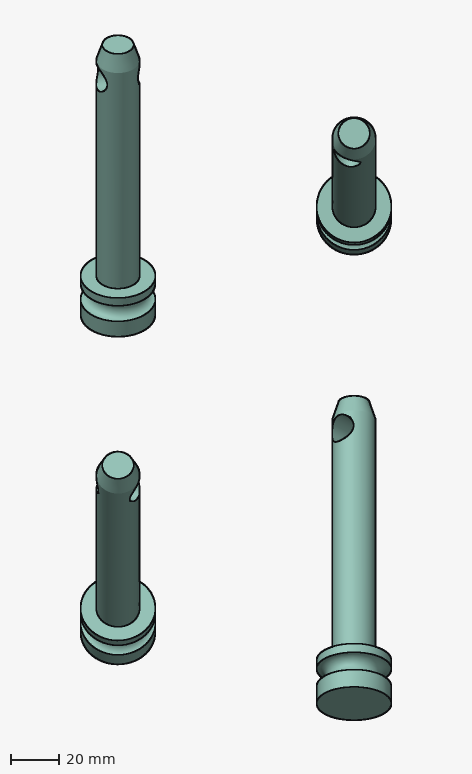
import cadquery as cq

base_diameter = 31.0
base_height = 20.0
groove_radius = 4.0
groove_center_height = 12.0

shank_diameter = 18.0
shank_top_height = 131.0
tip_diameter = 13.0
tip_length = 8.0
total_height = shank_top_height + tip_length

cross_hole_diameter = 12.0
cross_hole_height = 124.0


def turned_body():
    """Base with a half-round groove, straight shank and conical tip, all turned about Z."""
    base_radius = base_diameter / 2
    shank_radius = shank_diameter / 2
    tip_radius = tip_diameter / 2
    half_profile = (
        cq.Workplane("XZ")
        .lineTo(base_radius, 0)
        .lineTo(base_radius, groove_center_height - groove_radius)
        .threePointArc(
            (base_radius - groove_radius, groove_center_height),
            (base_radius, groove_center_height + groove_radius),
        )
        .lineTo(base_radius, base_height)
        .lineTo(shank_radius, base_height)
        .lineTo(shank_radius, shank_top_height)
        .lineTo(tip_radius, total_height)
        .lineTo(0, total_height)
        .close()
    )
    return half_profile.revolve(360, (0, 0, 0), (0, 1, 0))


def cross_hole():
    """Round cutter along Y, reaching past both sides of the shank."""
    return (
        cq.Workplane("XZ")
        .center(0, cross_hole_height)
        .circle(cross_hole_diameter / 2)
        .extrude(shank_diameter, both=True)
    )


result = turned_body().cut(cross_hole())